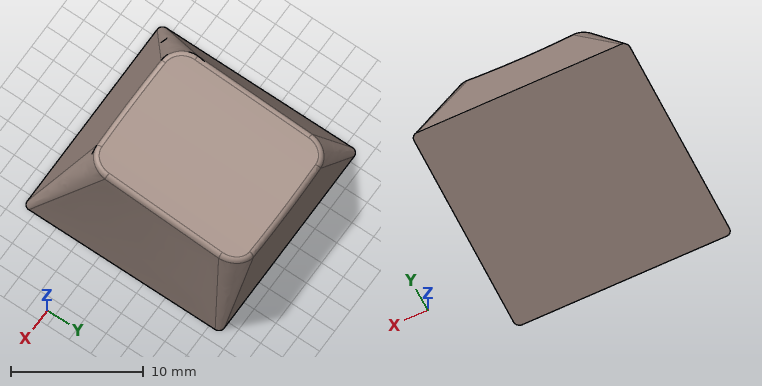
import cadquery as cq
import math

base_size = 18.1
base_corner_radius = 0.5

crown_width = 11.85
crown_front_y = -5.35
crown_back_y = 8.8
crown_corner_radius = 2.1
crown_tilt = 6.0
crown_front_z = 7.68

dish_radius = 37.0
dish_depth = 0.67
dish_length = 60.0

rim_radius = 0.45

tilt = math.radians(crown_tilt)
crown_depth_y = crown_back_y - crown_front_y
crown_length = crown_depth_y / math.cos(tilt)
crown_center_y = (crown_front_y + crown_back_y) / 2
crown_center_z = crown_front_z - crown_depth_y / 2 * math.tan(tilt)

crown_plane = cq.Plane(
    origin=(0, crown_center_y, crown_center_z),
    xDir=(1, 0, 0),
    normal=(0, math.sin(tilt), math.cos(tilt)),
)


def rounded_rectangle(plane, width, length, radius):
    """Closed wire of a rectangle with rounded corners, centred on the plane."""
    outline = cq.Workplane(plane).rect(width, length).val()
    return outline.fillet2D(radius, outline.Vertices())


def make_body():
    """Straight-ruled walls from the square skirt up to the tilted crown."""
    skirt = rounded_rectangle(cq.Plane.XY(), base_size, base_size, base_corner_radius)
    crown = rounded_rectangle(crown_plane, crown_width, crown_length, crown_corner_radius)
    return cq.Workplane(cq.Solid.makeLoft([skirt, crown], True))


def make_dish():
    """Cylinder whose lowest line lies dish_depth below the crown plane."""
    axis_height = dish_radius - dish_depth
    axis_start = crown_plane.toWorldCoords((0, -dish_length / 2, axis_height))
    cylinder = cq.Solid.makeCylinder(dish_radius, dish_length, axis_start, crown_plane.yDir)
    return cq.Workplane(cylinder)


def round_rim(body):
    """Fillet the edge all round the dished top face."""
    return body.faces(">Z").edges().fillet(rim_radius)


result = round_rim(make_body().cut(make_dish()))